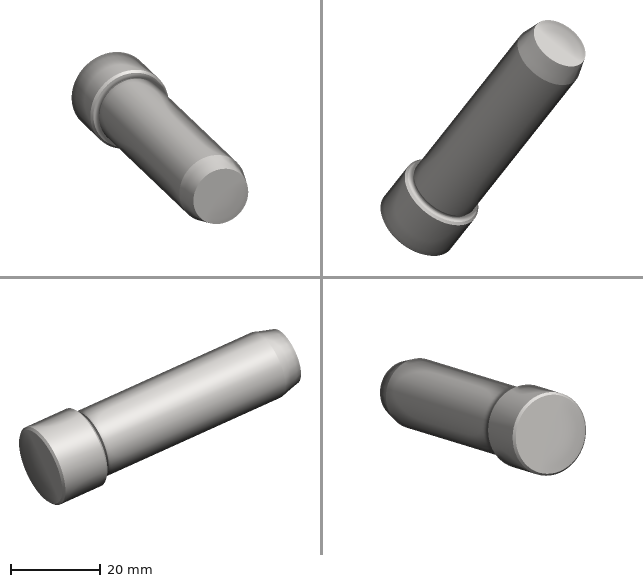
import cadquery as cq
import math

total_length = 65.0
head_diameter = 19.0
head_length = 12.0
head_chamfer = 0.5
shank_diameter = 16.0
groove_width = 1.0
groove_head_depth = 0.3
groove_middle_depth = 0.45
taper_length = 5.0
taper_angle = 15.0

head_radius = head_diameter / 2
shank_radius = shank_diameter / 2
groove_end = head_length + groove_width
taper_start = total_length - taper_length
tip_radius = shank_radius - taper_length * math.tan(math.radians(taper_angle))

groove_start = (head_length, shank_radius - groove_head_depth)
groove_middle = (head_length + groove_width / 2, shank_radius - groove_middle_depth)

profile = (
    cq.Workplane("XY")
    .lineTo(0, head_radius - head_chamfer)
    .lineTo(head_chamfer, head_radius)
    .lineTo(head_length - head_chamfer, head_radius)
    .lineTo(head_length, head_radius - head_chamfer)
    .lineTo(*groove_start)
    .threePointArc(groove_middle, (groove_end, shank_radius))
    .lineTo(taper_start, shank_radius)
    .lineTo(total_length, tip_radius)
    .lineTo(total_length, 0)
    .close()
)

result = profile.revolve(360, (0, 0, 0), (1, 0, 0)).translate((-total_length / 2, 0, 0))